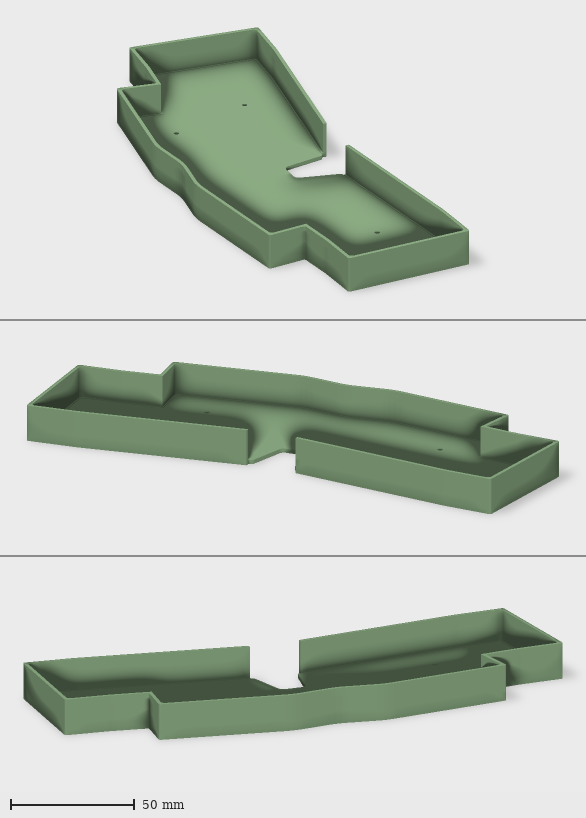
import cadquery as cq
import math

height = 15.0
floor_thickness = 1.7
ledge_top = 2.0

wall_thickness = 1.5
ledge_width = 0.7
floor_inset = wall_thickness + ledge_width
wall_gap_half_width = 11.0
wall_gap_depth = 21.7

hand_tilt = math.radians(8)
outer_tilt = math.radians(4)
end_bottom = (-108.7, -13.7)
end_length = 55.7
step_bend_x = -89.1
step_corner_x = -73.5
step_depth = 17.0
front_tip_x = -20.0
back_bend_x = -82.8

outer_corner_radius = 0.9
inner_corner_radius = 1.7
front_tip_radius = 26.0
back_bend_radius = 43.5

notch_bottom_y = 9.0
notch_bottom_half_width = 5.5
notch_slant = math.radians(12)
notch_bottom_radius = 2.4
notch_mouth_radius = 1.5

hole_diameter = 2.2
hole_centers = [(-65.7, 18.3), (-52.5, -17.8)]


def slide(start, x, tilt):
    """Point at the given x on a line that falls toward +X by the tilt."""
    return (x, start[1] - (x - start[0]) * math.tan(tilt))


def mirrored(point):
    return (-point[0], point[1])


end_top = (
    end_bottom[0] + end_length * math.sin(outer_tilt),
    end_bottom[1] + end_length * math.cos(outer_tilt),
)
step_bend = slide(end_bottom, step_bend_x, outer_tilt)
step_corner = slide(step_bend, step_corner_x, hand_tilt)
step_foot = (
    step_corner[0] - step_depth * math.sin(hand_tilt),
    step_corner[1] - step_depth * math.cos(hand_tilt),
)
front_tip = slide(step_foot, front_tip_x, hand_tilt)
front_middle = slide(front_tip, 0, -hand_tilt)
back_bend = slide(end_top, back_bend_x, outer_tilt)
back_middle = slide(back_bend, 0, hand_tilt)


def unit_vector(start, end):
    length = math.dist(start, end)
    return ((end[0] - start[0]) / length, (end[1] - start[1]) / length)


def rounded_corner(before, corner, after, radius):
    """Start, middle and end of the arc that rounds a corner between two lines."""
    to_before = unit_vector(corner, before)
    to_after = unit_vector(corner, after)
    half_angle = math.acos(to_before[0] * to_after[0] + to_before[1] * to_after[1]) / 2
    tangent_length = radius / math.tan(half_angle)
    depth = radius / math.sin(half_angle) - radius
    inward = unit_vector((0, 0), (to_before[0] + to_after[0], to_before[1] + to_after[1]))
    return [
        (corner[0] + distance * direction[0], corner[1] + distance * direction[1])
        for distance, direction in [(tangent_length, to_before), (depth, inward), (tangent_length, to_after)]
    ]


def make_outline(corner_radius, step_radius):
    """Closed outer outline, walked from the middle of the back."""
    left = [
        (back_bend, back_bend_radius),
        (end_top, corner_radius),
        (end_bottom, corner_radius),
        (step_bend, 0),
        (step_corner, step_radius),
        (step_foot, corner_radius),
        (front_tip, front_tip_radius),
    ]
    right = [(mirrored(point), radius) for point, radius in reversed(left)]
    corners = left + [(front_middle, front_tip_radius)] + right
    points = [back_middle] + [point for point, _ in corners] + [back_middle]
    path = cq.Workplane("XY").moveTo(*back_middle)
    for (corner, radius), before, after in zip(corners, points, points[2:]):
        if radius == 0:
            path = path.lineTo(*corner)
        else:
            arc_start, arc_middle, arc_end = rounded_corner(before, corner, after, radius)
            path = path.lineTo(*arc_start).threePointArc(arc_middle, arc_end)
    return path.close().val()


def prism(wire, prism_height):
    return cq.Workplane("XY").add(wire).toPending().extrude(prism_height)


def inset_prism(inset, prism_height):
    """Prism inside the outer outline, shrunk by the inset, with its step corner left sharp."""
    outline = make_outline(inner_corner_radius + inset, 0)
    return prism(outline.offset2D(-inset, "intersection")[0], prism_height)


def make_wall():
    block = prism(make_outline(outer_corner_radius, outer_corner_radius), height)
    cavity_height = height - ledge_top
    cavity = inset_prism(wall_thickness, cavity_height).translate((0, 0, ledge_top))
    opening = inset_prism(floor_inset, height)
    gap = cq.Workplane("XY").center(0, back_middle[1]).rect(2 * wall_gap_half_width, wall_gap_depth)
    return block.cut(cavity).cut(opening).cut(gap.extrude(height))


def make_floor():
    back_y = back_middle[1] - floor_inset / math.cos(hand_tilt)
    spread = math.tan(notch_slant)
    mouth_x = -(notch_bottom_half_width + spread * (back_y - notch_bottom_y)) / (
        1 - spread * math.tan(hand_tilt)
    )
    mouth = slide((0, back_y), mouth_x, hand_tilt)
    bottom = (-notch_bottom_half_width, notch_bottom_y)
    above_y = end_top[1]
    above = (bottom[0] - spread * (above_y - bottom[1]), above_y)
    notch = (
        cq.Workplane("XY")
        .polyline([above, bottom, mirrored(bottom), mirrored(above)])
        .close()
        .extrude(floor_thickness)
    )
    floor = inset_prism(floor_inset, floor_thickness).cut(notch)
    for corner, radius in [(mouth, notch_mouth_radius), (bottom, notch_bottom_radius)]:
        for x, y in [corner, mirrored(corner)]:
            standing_edge = cq.selectors.NearestToPointSelector((x, y, floor_thickness / 2))
            floor = floor.edges("|Z").edges(standing_edge).fillet(radius)
    centers = hole_centers + [mirrored(c) for c in hole_centers]
    holes = cq.Workplane("XY").pushPoints(centers).circle(hole_diameter / 2).extrude(floor_thickness)
    return floor.cut(holes)


result = make_wall().union(make_floor())